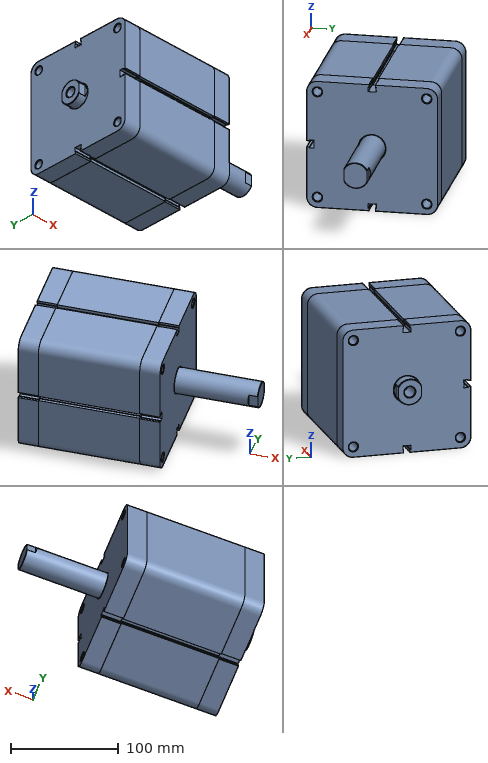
import cadquery as cq

total_length = 227.0
housing_side = 124.0
housing_length = 136.9
cap_length = 19.5
rear_stub_length = 10.0
corner_radius = 10.2
tube_length = housing_length - 2 * cap_length

bolt_hole_diameter = 8.5
bolt_pitch = housing_side - 2 * corner_radius

rod_diameter = 25.0
rod_flat_width = 22.0
rod_flat_length = 8.5
flat_runout = 1.0
rod_chamfer = 0.5

rod_bore_diameter = 10.2
rod_bore_depth = 22.7
rod_bore_tip_depth = 3.2

mouth_chamfer = 0.7

slot_depth = 6.8
cap_slot_neck_width = 6.1
cap_slot_head_width = 7.5
cap_slot_neck_depth = 2.7
tube_slot_neck_width = 4.8
tube_slot_head_width = 6.1
tube_slot_neck_depth = 3.6
slot_angles = (0, 90, 180)


def x_cylinder(diameter, start, length):
    """Cylinder around the X axis."""
    return cq.Workplane("YZ", origin=(start, 0, 0)).circle(diameter / 2).extrude(length)


def x_cone(start_diameter, end_diameter, start, length):
    """Cone frustum (or pointed cone) around the X axis."""
    cone = cq.Solid.makeCone(
        start_diameter / 2, end_diameter / 2, length, cq.Vector(start, 0, 0), cq.Vector(1, 0, 0)
    )
    return cq.Workplane(obj=cone)


def t_slot(length, neck_width, head_width, neck_depth):
    """T-shaped slot cutter along X, opening through the top face."""
    top = housing_side / 2
    shoulder = top - neck_depth
    neck_height = (top + shoulder) / 2
    floor = top - slot_depth
    neck = cq.Workplane("XY").box(length, neck_width, neck_depth, centered=(False, True, True))
    head = cq.Workplane("XY").box(length, head_width, shoulder - floor, centered=(False, True, False))
    return neck.translate((0, 0, neck_height)).union(head.translate((0, 0, floor)))


def housing_block(length, slot):
    """Rounded square block from X = 0 with T-slots, bolt holes and the rod bore."""
    block = cq.Workplane("YZ").rect(housing_side, housing_side).extrude(length)
    block = block.edges("|X").fillet(corner_radius)
    for angle in slot_angles:
        block = block.cut(slot.rotate((0, 0, 0), (1, 0, 0), angle))
    bolt_holes = (
        cq.Workplane("YZ")
        .rect(bolt_pitch, bolt_pitch, forConstruction=True)
        .vertices()
        .circle(bolt_hole_diameter / 2)
        .extrude(length)
    )
    return block.cut(bolt_holes).cut(x_cylinder(rod_diameter, 0, length))


def make_cap():
    """End cap with its outer face at X = 0; every hole mouth there is chamfered."""
    slot = t_slot(cap_length, cap_slot_neck_width, cap_slot_head_width, cap_slot_neck_depth)
    cap = housing_block(cap_length, slot)
    hole_mouths = [edge for wire in cap.faces("<X").val().innerWires() for edge in wire.Edges()]
    return cap.newObject(hole_mouths).chamfer(mouth_chamfer)


def make_tube():
    slot = t_slot(tube_length, tube_slot_neck_width, tube_slot_head_width, tube_slot_neck_depth)
    return housing_block(tube_length, slot).translate((cap_length, 0, 0))


def flat_cutter(length):
    """Material beyond the +Y wrench flat, from X = 0, ending in a steep run-out."""
    flat_y = rod_flat_width / 2
    outer_y = rod_diameter / 2
    return (
        cq.Workplane("XY")
        .polyline([(0, flat_y), (length, flat_y), (length + flat_runout, outer_y), (0, outer_y)])
        .close()
        .extrude(rod_diameter / 2, both=True)
    )


def make_rod():
    rear_end = -rear_stub_length
    front_end = rear_end + total_length
    rod = x_cylinder(rod_diameter, rear_end, total_length).edges("%CIRCLE").chamfer(rod_chamfer)

    flat = flat_cutter(rod_flat_length)
    rear_flat = flat.translate((rear_end, 0, 0))
    front_flat = flat.mirror("YZ").translate((front_end, 0, 0))
    for end_flat in (rear_flat, front_flat):
        rod = rod.cut(end_flat).cut(end_flat.mirror("XZ"))

    mouth_diameter = rod_bore_diameter + 2 * mouth_chamfer
    rod = rod.cut(x_cylinder(rod_bore_diameter, rear_end, rod_bore_depth))
    rod = rod.cut(x_cone(mouth_diameter, rod_bore_diameter, rear_end, mouth_chamfer))
    return rod.cut(x_cone(rod_bore_diameter, 0, rear_end + rod_bore_depth, rod_bore_tip_depth))


rear_cap = make_cap()
front_cap = make_cap().mirror("YZ").translate((housing_length, 0, 0))
tube = make_tube()
rod = make_rod()

result = cq.Compound.makeCompound([rear_cap.val(), tube.val(), front_cap.val(), rod.val()])